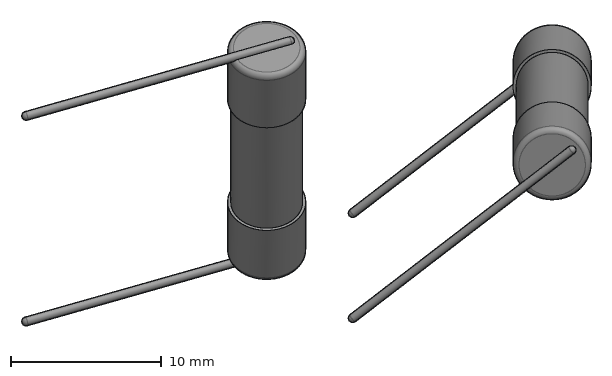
import cadquery as cq

overall_height = 20.6
overall_depth = 20.0

cap_diameter = 5.2
cap_length = 5.0
cap_edge_radius = 0.4
tube_diameter = 4.78
lead_diameter = 0.6
lead_back_y = 1.95

cap_radius = cap_diameter / 2
lead_radius = lead_diameter / 2
lead_front_y = cap_radius - overall_depth
cap_face_z = overall_height / 2 - lead_radius
tube_half_length = cap_face_z - cap_length


def make_tube():
    """Cylindrical body filling the space between the two caps."""
    base = cq.Workplane("XY").workplane(offset=-tube_half_length)
    return base.circle(tube_diameter / 2).extrude(2 * tube_half_length)


def make_lead(side):
    """Straight round wire with hemispherical ends; side is +1 for top, -1 for bottom."""
    half_profile = (
        cq.Workplane("XY")
        .moveTo(0, lead_front_y)
        .radiusArc((lead_radius, lead_front_y + lead_radius), -lead_radius)
        .lineTo(lead_radius, lead_back_y - lead_radius)
        .radiusArc((0, lead_back_y), -lead_radius)
        .close()
    )
    wire = half_profile.revolve(360, (0, 0, 0), (0, 1, 0))
    return wire.translate((0, 0, side * cap_face_z))


def make_cap(side, lead):
    """End cap with a rounded outer rim and a groove that seats the lead."""
    outer_face = ">Z" if side > 0 else "<Z"
    blank = (
        cq.Workplane("XY")
        .workplane(offset=side * tube_half_length)
        .circle(cap_radius)
        .extrude(side * cap_length)
        .faces(outer_face)
        .edges()
        .fillet(cap_edge_radius)
    )
    return blank.cut(lead)


tube = make_tube()
caps = []
leads = []
for side in (1, -1):
    lead = make_lead(side)
    leads.append(lead.val())
    caps.append(make_cap(side, lead).solids().val())

result = cq.Compound.makeCompound([tube.val(), *caps, *leads])